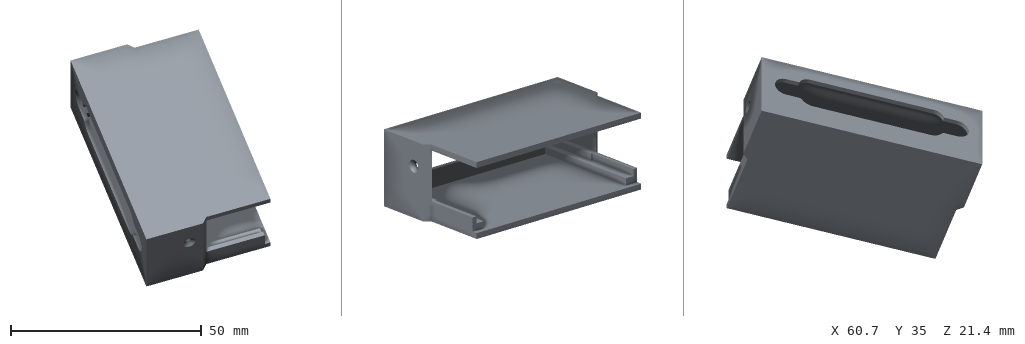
import cadquery as cq
import math

width = 60.7
depth = 34.95
height = 21.45
mid_x = width / 2

plate = 1.65
side_wall = 1.65
front_wall = 1.3

side_step = side_wall
step_start_y = 15.7
step_end_y = 17.2
rail_height = 5.6
rail_end_y = 33.4
rail_width = 1.3

upper_ledge_reach = 1.8
lower_ledge_reach = 3.9
lower_ledge_top = (plate + rail_height) / 2

opening_z = 11.9
slot_half_width = 26.65
slot_radius = 3.1
window_half_height = 5.15
upper_corner_radius = 2.85
upper_corner_x = 17.2
lower_corner_radius = 3.7
blend_radius = 1.2
blend_x = 20.15

screw_y = 11.9
screw_z = 14.4
screw_diameter = 1.5
sink_diameter = 3.5
sink_depth = (sink_diameter - screw_diameter) / 2


def block(x0, x1, y0, y1, z0, z1):
    """Box given by its limits along each axis."""
    return cq.Workplane("XY").box(x1 - x0, y1 - y0, z1 - z0, centered=False).translate((x0, y0, z0))


def add_mirrored(shape):
    """The shape together with its mirror image about the middle of the width."""
    return shape.union(shape.mirror("YZ", (mid_x, 0, 0)))


def make_shell():
    outline = [
        (0, 0),
        (width, 0),
        (width, step_start_y),
        (width - side_step, step_end_y),
        (width - side_step, depth),
        (side_step, depth),
        (side_step, step_end_y),
        (0, step_start_y),
    ]
    body = cq.Workplane("XY").polyline(outline).close().extrude(height)
    cavity = block(side_wall, width - side_wall, front_wall, depth, plate, height - plate)
    return body.cut(cavity)


def make_ledges():
    """Lower ledge over the full length; the upper one narrows to a rail behind the housing."""
    lower = block(side_wall, side_wall + lower_ledge_reach, front_wall, rail_end_y, plate, lower_ledge_top)
    upper = block(side_wall, side_wall + upper_ledge_reach, front_wall, step_end_y, plate, rail_height)
    rail = block(side_wall, side_wall + rail_width, step_end_y, rail_end_y, plate, rail_height)
    return add_mirrored(lower.union(upper).union(rail))


def make_opening():
    """Rounded slot, widened above and below into a window with rounded corners."""
    slot = (
        cq.Workplane("XZ", origin=(mid_x, 0, opening_z))
        .slot2D(2 * slot_half_width, 2 * slot_radius)
        .extrude(-front_wall)
    )
    upper_centre_z = window_half_height - upper_corner_radius
    upper_rise = slot_radius - upper_centre_z
    upper_end_x = upper_corner_x + math.sqrt(upper_corner_radius**2 - upper_rise**2)
    upper_mid_angle = (math.asin(upper_rise / upper_corner_radius) + math.pi / 2) / 2
    upper_mid = (
        upper_corner_x + upper_corner_radius * math.cos(upper_mid_angle),
        upper_centre_z + upper_corner_radius * math.sin(upper_mid_angle),
    )
    lower_centre_z = lower_corner_radius - window_half_height
    blend_centre_z = -slot_radius - blend_radius
    blend_rise = lower_centre_z - blend_centre_z
    centre_distance = lower_corner_radius + blend_radius
    blend_run = math.sqrt(centre_distance**2 - blend_rise**2)
    lower_corner_x = blend_x - blend_run
    join_x = blend_x - blend_radius * blend_run / centre_distance
    join_z = blend_centre_z + blend_radius * blend_rise / centre_distance
    half_window = (
        cq.Workplane("XZ", origin=(mid_x, 0, opening_z))
        .moveTo(0, window_half_height)
        .lineTo(upper_corner_x, window_half_height)
        .threePointArc(upper_mid, (upper_end_x, slot_radius))
        .lineTo(blend_x, slot_radius)
        .lineTo(blend_x, -slot_radius)
        .radiusArc((join_x, join_z), -blend_radius)
        .radiusArc((lower_corner_x, -window_half_height), lower_corner_radius)
        .lineTo(0, -window_half_height)
        .close()
        .extrude(-front_wall)
    )
    return slot.union(add_mirrored(half_window))


def make_screw_holes():
    sink = cq.Solid.makeCone(
        sink_diameter / 2,
        screw_diameter / 2,
        sink_depth,
        pnt=cq.Vector(0, screw_y, screw_z),
        dir=cq.Vector(1, 0, 0),
    )
    hole = cq.Workplane("YZ").center(screw_y, screw_z).circle(screw_diameter / 2).extrude(side_wall)
    return add_mirrored(hole.union(cq.Workplane(sink)))


result = make_shell().union(make_ledges()).cut(make_opening()).cut(make_screw_holes())